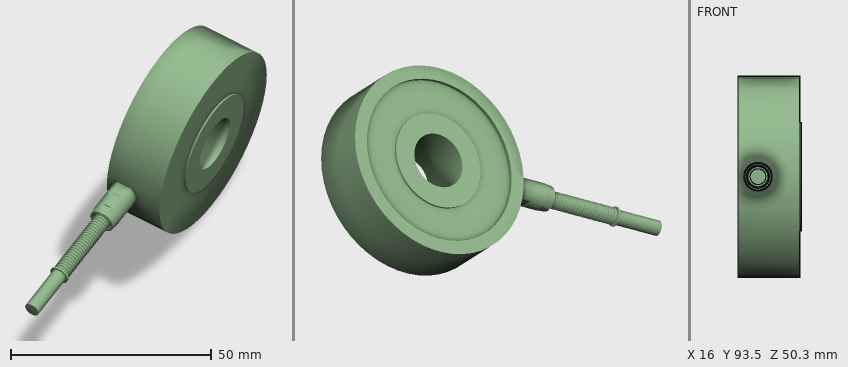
import cadquery as cq

body_diameter = 50.3
body_width = 15.5
bore_diameter = 14.3
hub_diameter = 25.1
groove_diameter = 43.2
groove_depth = 1.0
hub_setback = 0.5
load_face_diameter = 27.2
load_face_height = 0.5

outlet_x = 5.05
outlet_length = 43.2
outlet_root = -2.8
fitting_diameter = 7.1
fitting_tip_diameter = 6.6
taper_start = 8.0
fitting_length = 10.5
wrench_flat_length = 4.0
wrench_flat_width = 6.0
tip_flat_start = 7.8
tip_flat_width = 6.5
mouth_diameter = 5.8
mouth_floor_diameter = 5.2
mouth_depth = 1.5

cable_diameter = 3.9
rib_diameter = 4.5
rib_count = 26
collar_diameter = 5.05
collar_start = 30.0
collar_width = 0.5

rim_radius = body_diameter / 2
sleeve_start = fitting_length - mouth_depth
rib_pitch = (collar_start - sleeve_start) / rib_count


def disc(diameter, start_x, width):
    """Cylinder around the ring axis."""
    return cq.Workplane("YZ").workplane(offset=start_x).circle(diameter / 2).extrude(width)


def outlet_turning(profile):
    """Solid of revolution around the outlet axis from (radius, distance) points, closed along the axis."""
    first_distance = profile[0][1]
    last_distance = profile[-1][1]
    plane = cq.Plane(origin=(outlet_x, -rim_radius, 0), xDir=(1, 0, 0), normal=(0, 0, 1))
    points = [(0, first_distance)] + profile + [(0, last_distance)]
    outline = cq.Workplane(plane).polyline([(radius, -distance) for radius, distance in points]).close()
    return outline.revolve(360, (0, 0, 0), (0, 1, 0))


def cut_flats(solid, across, start, end):
    """Cut parallel flats above and below the outlet axis, between two distances from the rim."""
    length = end - start
    cutter = cq.Workplane("XY").box(fitting_diameter, length, fitting_diameter)
    for side in (1, -1):
        center_z = side * (across + fitting_diameter) / 2
        solid = solid.cut(cutter.translate((outlet_x, -rim_radius - start - length / 2, center_z)))
    return solid


def make_ring():
    ring = disc(body_diameter, 0, body_width)
    ring = ring.union(disc(load_face_diameter, body_width, load_face_height))
    ring = ring.cut(disc(groove_diameter, 0, groove_depth))
    ring = ring.union(disc(hub_diameter, hub_setback, groove_depth - hub_setback))
    bore = disc(bore_diameter, 0, body_width + load_face_height)
    return ring.cut(bore)


def make_fitting():
    fitting = outlet_turning([
        (fitting_diameter / 2, outlet_root),
        (fitting_diameter / 2, taper_start),
        (fitting_tip_diameter / 2, fitting_length),
    ])
    mouth = outlet_turning([
        (mouth_floor_diameter / 2, sleeve_start),
        (mouth_diameter / 2, fitting_length),
    ])
    fitting = cut_flats(fitting, wrench_flat_width, outlet_root, wrench_flat_length)
    fitting = cut_flats(fitting, tip_flat_width, tip_flat_start, fitting_length)
    return fitting.cut(mouth)


def make_cable():
    """Cable with trapezoidal ribs from the mouth of the fitting to the end collar."""
    cable_radius = cable_diameter / 2
    rib_radius = rib_diameter / 2
    collar_radius = collar_diameter / 2
    collar_end = collar_start + collar_width

    profile = [(cable_radius, outlet_root)]
    for index in range(rib_count):
        rib_start = sleeve_start + index * rib_pitch
        profile += [
            (cable_radius, rib_start),
            (rib_radius, rib_start + rib_pitch / 4),
            (rib_radius, rib_start + rib_pitch / 2),
            (cable_radius, rib_start + rib_pitch * 3 / 4),
        ]
    profile += [
        (cable_radius, collar_start),
        (collar_radius, collar_start),
        (collar_radius, collar_end),
        (cable_radius, collar_end),
        (cable_radius, outlet_length),
    ]
    return outlet_turning(profile)


result = make_ring().union(make_fitting()).union(make_cable())